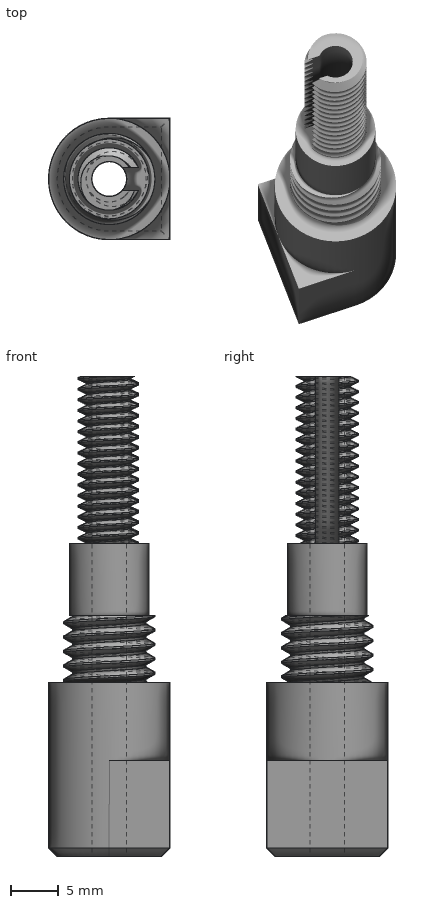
import cadquery as cq
import math

body_top = 18.2
collar_bottom = 25.2
collar_top = 32.75
total_height = 50.2

body_diameter = 12.7
body_radius = body_diameter / 2
bottom_chamfer = 0.9
block_top = 10.05

collar_diameter = 8.35
bore_diameter = 3.6
slot_width = 2.4

flank_half_angle = math.radians(30)
root_embed = 0.05
widest_tooth_ratio = 0.92
large_thread_radius = 4.75
large_root_radius = 3.85
large_pitch = 1.5
large_crest_width = 0.2
small_thread_radius = 3.25
small_root_radius = 2.4
small_thread_turns = 15.7
small_pitch = (total_height - collar_top) / small_thread_turns
small_crest_width = 0.15


def cylinder(diameter, bottom, top):
    return cq.Workplane("XY").workplane(offset=bottom).circle(diameter / 2).extrude(top - bottom)


def threaded_rod(outer_radius, root_radius, pitch, crest_width, bottom, top, crest_height):
    """Right-hand threaded rod; one crest passes the +X direction at crest_height."""
    turns_below = math.ceil((crest_height - bottom) / pitch) + 1
    start = crest_height - turns_below * pitch
    helix_height = (math.ceil((top - start) / pitch) + 1) * pitch
    embedded_radius = root_radius - root_embed
    crest_half = crest_width / 2
    flank_half = crest_half + (outer_radius - embedded_radius) * math.tan(flank_half_angle)
    base_half = min(flank_half, widest_tooth_ratio * pitch / 2)

    helix = cq.Workplane(cq.Wire.makeHelix(pitch, helix_height, root_radius))
    tooth = cq.Workplane("XZ").polyline([
        (embedded_radius, -base_half),
        (outer_radius, -crest_half),
        (outer_radius, crest_half),
        (embedded_radius, base_half),
    ]).close()
    ridge = tooth.sweep(helix, isFrenet=True).translate((0, 0, start))
    core = cylinder(2 * root_radius, start - pitch, start + helix_height + pitch)
    envelope = cylinder(4 * outer_radius, bottom, top)
    return core.union(ridge).intersect(envelope)


def make_body():
    """Round body with a square-cornered block on the +X half, chamfered at the bottom."""
    block = cq.Workplane("XY").box(body_radius, body_diameter, block_top, centered=(False, True, False))
    body = cylinder(body_diameter, 0, body_top).union(block)
    return body.faces("<Z").chamfer(bottom_chamfer)


def make_slot():
    """Slot along the upper rod, open toward +X and at the top."""
    return (
        cq.Workplane("XY", origin=(0, 0, collar_top))
        .box(body_radius, slot_width, total_height - collar_top, centered=(False, True, False))
    )


large_thread = threaded_rod(
    large_thread_radius, large_root_radius, large_pitch, large_crest_width,
    body_top, collar_bottom, collar_bottom,
)
small_thread = threaded_rod(
    small_thread_radius, small_root_radius, small_pitch, small_crest_width,
    collar_top, total_height, collar_top,
)
slotted_thread = small_thread.cut(make_slot())
collar = cylinder(collar_diameter, collar_bottom, collar_top)
bore = cylinder(bore_diameter, 0, total_height)

result = make_body().union(large_thread).union(collar).union(slotted_thread).cut(bore)